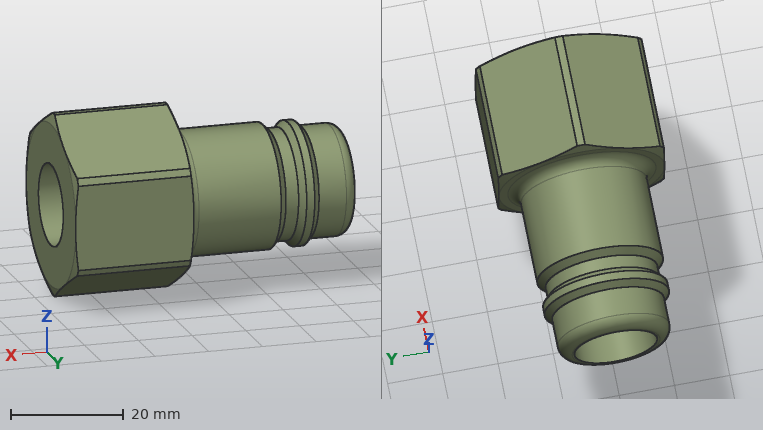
import cadquery as cq
import math

total_length = 54.0
hex_length = 22.0
hex_start = total_length - hex_length
bore_diameter = 15.0

hex_sides = 6
across_flats = 30.0
across_rounded_corners = 33.85
hex_chamfer_angle = 15.0

tip_diameter = 20.3
tip_round = 2.2
ridge_diameter = 22.6
ridge_start = 7.25
ridge_crest_width = 1.5
body_diameter = 22.85
body_start = 13.4
body_fillet = 2.0

tip_radius = tip_diameter / 2
ridge_radius = ridge_diameter / 2
body_radius = body_diameter / 2
ridge_height = ridge_radius - tip_radius
body_step = body_radius - tip_radius
fillet_end_radius = body_radius + body_fillet

quarter_arc_inset = 1 - math.sqrt(0.5)


def revolve_about_x(profile):
    """Close an (x, radius) outline and turn it into a solid around the X axis."""
    return profile.close().revolve(360, (0, 0, 0), (1, 0, 0))


def make_spigot():
    """Turned nose with rounded tip, 45 degree retaining ridge, shoulder and root fillet."""
    crest_start = ridge_start + ridge_height
    crest_end = crest_start + ridge_crest_width
    round_offset = tip_round * quarter_arc_inset
    fillet_start = hex_start - body_fillet
    fillet_mid_x = hex_start - body_fillet * quarter_arc_inset
    fillet_mid_radius = body_radius + body_fillet * quarter_arc_inset
    profile = (
        cq.Workplane("XY")
        .lineTo(0, tip_radius - tip_round)
        .threePointArc((round_offset, tip_radius - round_offset), (tip_round, tip_radius))
        .lineTo(ridge_start, tip_radius)
        .lineTo(crest_start, ridge_radius)
        .lineTo(crest_end, ridge_radius)
        .lineTo(crest_end + ridge_height, tip_radius)
        .lineTo(body_start, tip_radius)
        .lineTo(body_start + body_step, body_radius)
        .lineTo(fillet_start, body_radius)
        .threePointArc((fillet_mid_x, fillet_mid_radius), (hex_start, fillet_end_radius))
        .lineTo(total_length, fillet_end_radius)
        .lineTo(total_length, 0)
    )
    return revolve_about_x(profile)


def make_hexagon():
    """Hexagon with corners turned round and both ends chamfered down to the flats."""
    across_sharp_corners = across_flats / math.cos(math.pi / hex_sides)
    prism = (
        cq.Workplane("YZ", origin=(hex_start, 0, 0))
        .transformed(rotate=(0, 0, 90))
        .polygon(hex_sides, across_sharp_corners)
        .extrude(hex_length)
    )
    flat_radius = across_flats / 2
    corner_radius = across_rounded_corners / 2
    chamfer_length = (corner_radius - flat_radius) * math.tan(math.radians(hex_chamfer_angle))
    envelope = (
        cq.Workplane("XY")
        .moveTo(hex_start, 0)
        .lineTo(hex_start, flat_radius)
        .lineTo(hex_start + chamfer_length, corner_radius)
        .lineTo(total_length - chamfer_length, corner_radius)
        .lineTo(total_length, flat_radius)
        .lineTo(total_length, 0)
    )
    return prism.intersect(revolve_about_x(envelope))


def make_bore():
    """Through bore along the X axis."""
    return cq.Workplane("YZ").circle(bore_diameter / 2).extrude(total_length)


result = make_spigot().union(make_hexagon()).cut(make_bore())